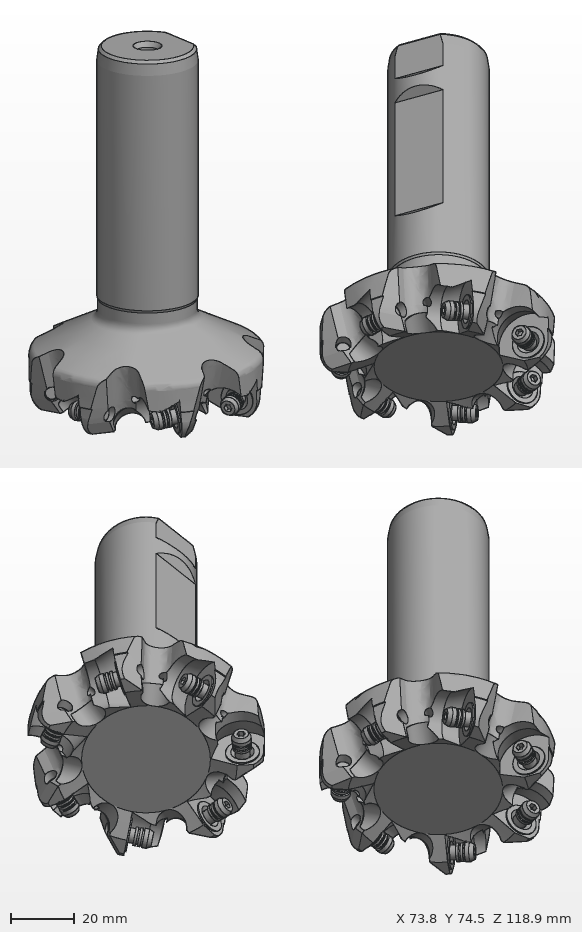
import cadquery as cq
import math

TOOTH_COUNT = 7
TOOTH_PITCH = 360 / TOOTH_COUNT
FIRST_GULLET_ANGLE = 2.2
OVERALL_LENGTH = 118.9

SHANK_DIAMETER = 32.0
SHANK_RADIUS = SHANK_DIAMETER / 2
SHANK_BOTTOM_Z = 36.5
SHANK_EDGE_CHAMFER = 0.8
PILOT_RADIUS = 15.5
PILOT_LENGTH = 4.8
PILOT_CHAMFER = 1.0
FLAT_Y = 13.5
FLAT_SPANS = ((54.9, 97.0), (106.0, OVERALL_LENGTH))

NECK_RADIUS = 15.7
NECK_BOTTOM_Z = 31.9
CONE_TOP_RADIUS = 17.5
CONE_TOP_Z = 28.9
CONE_BOTTOM_RADIUS = 35.8
CONE_BOTTOM_Z = 19.5
HEAD_DIAMETER = 74.5
HEAD_RADIUS = HEAD_DIAMETER / 2
RIM_TOP_Z = 16.9
RELIEF_TOP_Z = 9.4
RELIEF_DEPTH = 0.4
NOSE_RADIUS = 7.1
NOSE_CENTRE_Z = 6.0

DISH_RIM_RADIUS = 28.5
DISH_FLOOR_RADIUS = 20.2
DISH_DEPTH = 3.9

GULLET_RADIUS = 4.8
GULLET_AXIS_RADIUS = 34.7
GULLET_TOP_Z = 22.6
GULLET_LEAN = 0.25
GULLET_WALL_ANGLE = 22.0
SEAT_WALL_FOOT_ANGLE = 35.0
GULLET_RUNOUT_Z = 7.6

BACK_RELIEF_ANGLE = 32.0
BACK_RELIEF_OFFSET = 24.7
BACK_RELIEF_START = 18.4
BACK_RELIEF_END = 30.9
BACK_BEVEL_TOP_Z = 4.0
BACK_BEVEL_INSET = 1.4
BACK_BEVEL_BASE_INSET = 3.3

SEAT_ANGLE = 28.0
SEAT_RADIUS = 30.3
SEAT_CENTRE_Z = 5.8
SEAT_SETBACK = 0.2
AXIAL_RAKE = 6.0
POCKET_RADIUS = 8.0
POCKET_LENGTH = 10.7
POCKET_FLOOR_RADIUS = 10.1
POCKET_TAPER_LENGTH = 6.0
BOSS_RADIUS = 5.3
BOSS_HEIGHT = 0.5
SINK_RADIUS = 3.7
SINK_DEPTH = 1.3

SCREW_RADIUS = 2.4
SCREW_END_CHAMFER = 0.4
SCREW_BACK_LENGTH = 5.2
SCREW_COLLAR_RADIUS = 3.0
SCREW_COLLAR_STARTS = (1.7, 3.1)
SCREW_COLLAR_WIDTH = 0.8
HEAD_START = 4.5
HEAD_END = 7.4
SCREW_HEAD_RADIUS = 3.1
HEAD_TIP_RADIUS = 2.4
HEAD_TAPER_LENGTH = 1.4
SOCKET_WIDTH = 2.6
SOCKET_DEPTH = 1.8

BORE_RADIUS = 3.5
BORE_MOUTH_RADIUS = 4.5
BORE_MOUTH_DEPTH = 1.7
BORE_BOTTOM_Z = 16.6
BRANCH_RADIUS = 1.3
BRANCH_OUTLET_Z = 10.8
BRANCH_OUTLET_SIDE = 2.0

CUT_MARGIN = 6.0


def polar(radius, degrees, z=0.0):
    angle = math.radians(degrees)
    return cq.Vector(radius * math.cos(angle), radius * math.sin(angle), z)


def turned(profile):
    """Solid of revolution about Z from (radius, height) points."""
    return cq.Workplane("XZ").polyline(profile).close().revolve(360, (0, 0, 0), (0, 1, 0))


def gullet_shift(z):
    """Radial shift of the leaning gullet at height z."""
    return GULLET_LEAN * (z - GULLET_TOP_Z)


def around_head(shape):
    """Copies of a shape made for a gullet on +X, one at each gullet."""
    return [
        shape.rotate(cq.Vector(), cq.Vector(0, 0, 1), FIRST_GULLET_ANGLE + index * TOOTH_PITCH)
        for index in range(TOOTH_COUNT)
    ]


def turned_blank():
    relief_radius = HEAD_RADIUS - RELIEF_DEPTH
    nose_centre = relief_radius - NOSE_RADIUS
    nose_foot = nose_centre + math.sqrt(NOSE_RADIUS**2 - NOSE_CENTRE_Z**2)
    nose_sweep = math.asin(NOSE_CENTRE_Z / NOSE_RADIUS) / 2
    nose_middle = (
        nose_centre + NOSE_RADIUS * math.cos(nose_sweep),
        NOSE_CENTRE_Z - NOSE_RADIUS * math.sin(nose_sweep),
    )
    pilot_z = OVERALL_LENGTH - PILOT_LENGTH
    return (
        cq.Workplane("XZ")
        .lineTo(nose_foot, 0)
        .threePointArc(nose_middle, (relief_radius, NOSE_CENTRE_Z))
        .lineTo(relief_radius, RELIEF_TOP_Z)
        .lineTo(HEAD_RADIUS, RELIEF_TOP_Z)
        .lineTo(HEAD_RADIUS, RIM_TOP_Z)
        .tangentArcPoint((CONE_BOTTOM_RADIUS, CONE_BOTTOM_Z), relative=False)
        .lineTo(CONE_TOP_RADIUS, CONE_TOP_Z)
        .tangentArcPoint((NECK_RADIUS, NECK_BOTTOM_Z), relative=False)
        .lineTo(NECK_RADIUS, SHANK_BOTTOM_Z - SHANK_EDGE_CHAMFER)
        .lineTo(SHANK_RADIUS, SHANK_BOTTOM_Z)
        .lineTo(SHANK_RADIUS, pilot_z)
        .lineTo(PILOT_RADIUS, OVERALL_LENGTH - PILOT_CHAMFER)
        .lineTo(PILOT_RADIUS - PILOT_CHAMFER, OVERALL_LENGTH)
        .lineTo(0, OVERALL_LENGTH)
        .close()
        .revolve(360, (0, 0, 0), (0, 1, 0))
    )


def flat_cutter(bottom_z, top_z):
    """Clamping flat whose ends slope outward at 45 degrees."""
    outer_y = FLAT_Y + CUT_MARGIN
    return (
        cq.Workplane("YZ")
        .polyline([
            (FLAT_Y, bottom_z),
            (FLAT_Y, top_z),
            (outer_y, top_z + CUT_MARGIN),
            (outer_y, bottom_z - CUT_MARGIN),
        ])
        .close()
        .extrude(SHANK_RADIUS, both=True)
    )


def flat_bevel_cutter():
    """Bevel that carries the shank end chamfer along the top flat."""
    return (
        cq.Workplane("YZ")
        .polyline([
            (FLAT_Y - PILOT_CHAMFER, OVERALL_LENGTH),
            (FLAT_Y, OVERALL_LENGTH - PILOT_CHAMFER),
            (FLAT_Y, OVERALL_LENGTH),
        ])
        .close()
        .extrude(SHANK_RADIUS, both=True)
    )


def dish_cutter():
    return turned([(0, 0), (DISH_RIM_RADIUS, 0), (DISH_FLOOR_RADIUS, DISH_DEPTH), (0, DISH_DEPTH)])


def gullet_outline(z, seat_wall_angle):
    """Round-bottomed V opening along +X, with its seat wall on the +Y side."""
    axis_x = GULLET_AXIS_RADIUS + gullet_shift(z)
    mouth_x = HEAD_RADIUS + 2 * CUT_MARGIN

    def wall_ends(angle, side):
        slope = math.radians(angle)
        foot_x = axis_x - GULLET_RADIUS * math.sin(slope)
        foot_y = GULLET_RADIUS * math.cos(slope)
        mouth_y = foot_y + (mouth_x - foot_x) * math.tan(slope)
        return (foot_x, side * foot_y), (mouth_x, side * mouth_y)

    seat_foot, seat_mouth = wall_ends(seat_wall_angle, 1)
    back_foot, back_mouth = wall_ends(GULLET_WALL_ANGLE, -1)
    return (
        cq.Workplane("XY", origin=(0, 0, z))
        .moveTo(*seat_foot)
        .threePointArc((axis_x - GULLET_RADIUS, 0), back_foot)
        .lineTo(*back_mouth)
        .lineTo(*seat_mouth)
        .close()
        .val()
    )


def gullet_cutter():
    """Gullet channel that leans inward and opens wider toward the teeth."""
    top = gullet_outline(GULLET_TOP_Z + CUT_MARGIN, GULLET_WALL_ANGLE)
    bottom = gullet_outline(-CUT_MARGIN, SEAT_WALL_FOOT_ANGLE)
    return cq.Solid.makeLoft([top, bottom], True)


def runout_cutter():
    """Sloping channel that carries the gullet floor into the dish."""
    start_x = GULLET_AXIS_RADIUS - GULLET_RADIUS + gullet_shift(GULLET_RUNOUT_Z)
    slope = cq.Vector(DISH_FLOOR_RADIUS - start_x, 0, DISH_DEPTH - GULLET_RUNOUT_Z)
    down = cq.Vector(-slope.z, 0, slope.x).normalized() * GULLET_RADIUS
    start = cq.Vector(start_x, 0, GULLET_RUNOUT_Z) + down
    return cq.Solid.makeCylinder(GULLET_RADIUS, slope.Length + CUT_MARGIN, start, slope)


def back_relief_cutter():
    """Flat behind the tooth that curls into a bevel at its lower corner."""
    normal = polar(1, BACK_RELIEF_ANGLE)
    along = polar(1, BACK_RELIEF_ANGLE - 90)
    plane = cq.Plane(origin=along * BACK_RELIEF_START, xDir=normal, normal=along)
    lean = GULLET_LEAN * normal.x
    outer = BACK_RELIEF_OFFSET + 2 * CUT_MARGIN
    top_z = CONE_BOTTOM_Z + CUT_MARGIN
    return (
        cq.Workplane(plane)
        .moveTo(BACK_RELIEF_OFFSET + lean * (top_z - RELIEF_TOP_Z), top_z)
        .lineTo(BACK_RELIEF_OFFSET, RELIEF_TOP_Z)
        .tangentArcPoint((BACK_RELIEF_OFFSET - BACK_BEVEL_INSET, BACK_BEVEL_TOP_Z), relative=False)
        .lineTo(BACK_RELIEF_OFFSET - BACK_BEVEL_BASE_INSET, 0)
        .lineTo(outer, 0)
        .lineTo(outer, top_z)
        .close()
        .extrude(BACK_RELIEF_END - BACK_RELIEF_START)
        .val()
    )


def seat_plane():
    """Plane of the insert seat beside the gullet on +X, facing that gullet."""
    rake = math.radians(AXIAL_RAKE)
    facing = polar(math.cos(rake), SEAT_ANGLE - 90, -math.sin(rake))
    return cq.Plane(
        origin=polar(SEAT_RADIUS, SEAT_ANGLE, SEAT_CENTRE_Z) - facing * SEAT_SETBACK,
        xDir=polar(1, SEAT_ANGLE),
        normal=facing,
    )


def pocket_cutter():
    """Round insert pocket with a raised ring around the countersunk screw hole."""
    profile = [
        (0, POCKET_LENGTH),
        (POCKET_RADIUS, POCKET_LENGTH),
        (POCKET_RADIUS, POCKET_TAPER_LENGTH),
        (POCKET_FLOOR_RADIUS, -BOSS_HEIGHT),
        (BOSS_RADIUS, -BOSS_HEIGHT),
        (BOSS_RADIUS, 0),
        (SINK_RADIUS, 0),
        (SCREW_RADIUS, -SINK_DEPTH),
        (SCREW_RADIUS, -SCREW_BACK_LENGTH - CUT_MARGIN),
        (0, -SCREW_BACK_LENGTH - CUT_MARGIN),
    ]
    return turned(profile).val().moved(cq.Location(seat_plane()))


def branch_cutter():
    """Coolant branch from the bore to its outlet in the gullet wall."""
    floor_x = GULLET_AXIS_RADIUS - GULLET_RADIUS + gullet_shift(BRANCH_OUTLET_Z)
    start = cq.Vector(0, 0, BORE_BOTTOM_Z)
    outlet = cq.Vector(floor_x, BRANCH_OUTLET_SIDE, BRANCH_OUTLET_Z)
    direction = outlet - start
    return cq.Solid.makeCylinder(BRANCH_RADIUS, direction.Length + BRANCH_RADIUS, start, direction)


def coolant_bore():
    bore = (
        cq.Workplane("XY", origin=(0, 0, OVERALL_LENGTH))
        .circle(BORE_RADIUS)
        .extrude(BORE_BOTTOM_Z - OVERALL_LENGTH)
    )
    mouth = cq.Solid.makeCone(
        BORE_MOUTH_RADIUS, BORE_RADIUS, BORE_MOUTH_DEPTH,
        cq.Vector(0, 0, OVERALL_LENGTH), cq.Vector(0, 0, -1),
    )
    return bore.union(cq.Workplane(mouth))


def cutter_body():
    body = turned_blank().cut(dish_cutter()).cut(coolant_bore())
    for bottom_z, top_z in FLAT_SPANS:
        body = body.cut(flat_cutter(bottom_z, top_z))
    body = body.cut(flat_bevel_cutter())
    cutters = (
        gullet_cutter(),
        runout_cutter(),
        back_relief_cutter(),
        pocket_cutter(),
        branch_cutter(),
    )
    for cutter in cutters:
        for copy in around_head(cutter):
            body = body.cut(cq.Workplane(copy))
    return body


def clamping_screw():
    """Screw along the seat normal, from its end inside the tooth to its head."""
    profile = [
        (0, -SCREW_BACK_LENGTH),
        (SCREW_RADIUS - SCREW_END_CHAMFER, -SCREW_BACK_LENGTH),
        (SCREW_RADIUS, SCREW_END_CHAMFER - SCREW_BACK_LENGTH),
    ]
    for start in SCREW_COLLAR_STARTS:
        end = start + SCREW_COLLAR_WIDTH
        profile += [
            (SCREW_RADIUS, start), (SCREW_COLLAR_RADIUS, start),
            (SCREW_COLLAR_RADIUS, end), (SCREW_RADIUS, end),
        ]
    profile += [
        (SCREW_RADIUS, HEAD_START),
        (SCREW_HEAD_RADIUS, HEAD_START),
        (SCREW_HEAD_RADIUS, HEAD_END - HEAD_TAPER_LENGTH),
        (HEAD_TIP_RADIUS, HEAD_END),
        (0, HEAD_END),
    ]
    blank = turned(profile)
    socket = (
        cq.Workplane("XY", origin=(0, 0, HEAD_END)).polygon(6, SOCKET_WIDTH).extrude(-SOCKET_DEPTH)
    )
    return blank.cut(socket).val().moved(cq.Location(seat_plane()))


body = cutter_body()
screws = around_head(clamping_screw())

result = cq.Compound.makeCompound([body.val(), *screws])